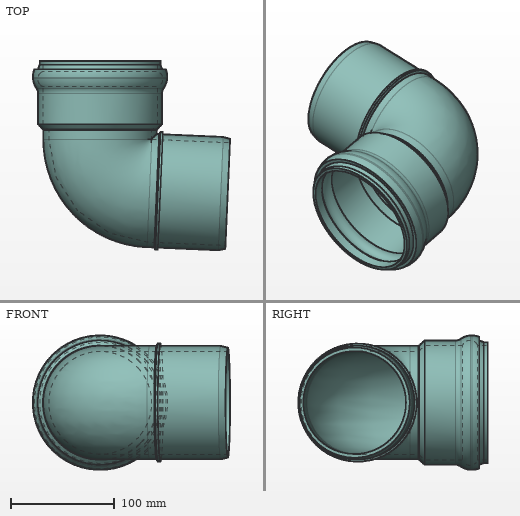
import cadquery as cq
import math

BEND_ANGLE = 87.5
BEND_RADIUS = 50.0
PIPE_RADIUS = 110.2 / 2
BORE_RADIUS = 99.7 / 2

MOUTH_RADIUS = 117.3 / 2
SOCKET_RADIUS = 120.5 / 2
SOCKET_BORE_RADIUS = 111.2 / 2
BEAD_RADIUS = 130.5 / 2
TAPER_EDGE_RADIUS = 110.8 / 2
BEAD_TOP_RADIUS = 63.7
BEAD_FOOT_RADIUS = 123.6 / 2
LIP_DEPTH = 3.8
BEAD_TOP = 8.0
BEAD_FLAT_START = 15.7
BEAD_FLAT_END = 17.0
BEAD_FOOT = 26.5
BEAD_END = 31.4
SOCKET_END = 61.2
TAPER_EDGE = 66.5
TAPER_END = 67.2
BEND_START = 75.8

SEAL_GROOVE_RADIUS = 60.7
SEAL_GROOVE_TOP = 10.0
SEAL_GROOVE_MIDDLE = 17.5
SEAL_GROOVE_END = 24.9

STOP_RING_RADIUS = 114.6 / 2
STOP_RING_RAMP = 7.0
STOP_RING_START = 8.5
STOP_RING_END = 10.7
SPIGOT_LENGTH = 76.2
CHAMFER_LENGTH = 7.0
CHAMFER_DEPTH = 1.7


def turn_about_y(profile):
    return profile.close().revolve(360, (0, 0, 0), (0, 1, 0))


def bend(radius):
    """Sweep a disc around the bend axis, keeping only the part on its near side of that axis."""
    reach = min(radius, BEND_RADIUS)
    half_chord = math.sqrt(radius**2 - reach**2)
    section = cq.Workplane("XZ", origin=(0, -BEND_START, 0))
    if half_chord > 0:
        section = (
            section.moveTo(reach, half_chord)
            .threePointArc((-radius, 0), (reach, -half_chord))
            .close()
        )
    else:
        section = section.circle(radius)
    return section.revolve(BEND_ANGLE, (BEND_RADIUS, 0, 0), (BEND_RADIUS, 1, 0))


def place_on_bend_end(leg):
    """Turn a leg that runs along -Y from the bend start onto the end of the bend."""
    axis_start = (BEND_RADIUS, -BEND_START, 0)
    axis_end = (BEND_RADIUS, -BEND_START, 1)
    return leg.translate((0, -BEND_START, 0)).rotate(axis_start, axis_end, BEND_ANGLE)


def socket_body():
    """Trace from the bend start up to the mouth so that each bead arc leaves its neighbour smoothly."""
    return turn_about_y(
        cq.Workplane("XY")
        .lineTo(0, -BEND_START)
        .lineTo(PIPE_RADIUS, -BEND_START)
        .lineTo(PIPE_RADIUS, -TAPER_END)
        .lineTo(TAPER_EDGE_RADIUS, -TAPER_EDGE)
        .lineTo(SOCKET_RADIUS, -SOCKET_END)
        .lineTo(SOCKET_RADIUS, -BEAD_END)
        .tangentArcPoint((BEAD_FOOT_RADIUS, -BEAD_FOOT), relative=False)
        .tangentArcPoint((BEAD_RADIUS, -BEAD_FLAT_END), relative=False)
        .lineTo(BEAD_RADIUS, -BEAD_FLAT_START)
        .tangentArcPoint((BEAD_TOP_RADIUS, -BEAD_TOP), relative=False)
        .lineTo(SOCKET_RADIUS, -BEAD_TOP)
        .lineTo(MOUTH_RADIUS, -LIP_DEPTH)
        .lineTo(MOUTH_RADIUS, 0)
    )


def socket_bore():
    return turn_about_y(
        cq.Workplane("XY")
        .lineTo(SOCKET_BORE_RADIUS, 0)
        .lineTo(SOCKET_BORE_RADIUS, -SEAL_GROOVE_TOP)
        .threePointArc((SEAL_GROOVE_RADIUS, -SEAL_GROOVE_MIDDLE), (SOCKET_BORE_RADIUS, -SEAL_GROOVE_END))
        .lineTo(SOCKET_BORE_RADIUS, -SOCKET_END)
        .lineTo(BORE_RADIUS, -TAPER_END)
        .lineTo(BORE_RADIUS, -BEND_START)
        .lineTo(0, -BEND_START)
    )


def spigot_body():
    leg = turn_about_y(
        cq.Workplane("XY")
        .lineTo(PIPE_RADIUS, 0)
        .lineTo(PIPE_RADIUS, -STOP_RING_RAMP)
        .lineTo(STOP_RING_RADIUS, -STOP_RING_START)
        .lineTo(STOP_RING_RADIUS, -STOP_RING_END)
        .lineTo(PIPE_RADIUS, -STOP_RING_END)
        .lineTo(PIPE_RADIUS, CHAMFER_LENGTH - SPIGOT_LENGTH)
        .lineTo(PIPE_RADIUS - CHAMFER_DEPTH, -SPIGOT_LENGTH)
        .lineTo(0, -SPIGOT_LENGTH)
    )
    return place_on_bend_end(leg)


def spigot_bore():
    leg = cq.Workplane("XZ").circle(BORE_RADIUS).extrude(SPIGOT_LENGTH)
    return place_on_bend_end(leg)


body = socket_body().union(bend(PIPE_RADIUS)).union(spigot_body())
result = body.cut(socket_bore()).cut(bend(BORE_RADIUS)).cut(spigot_bore())